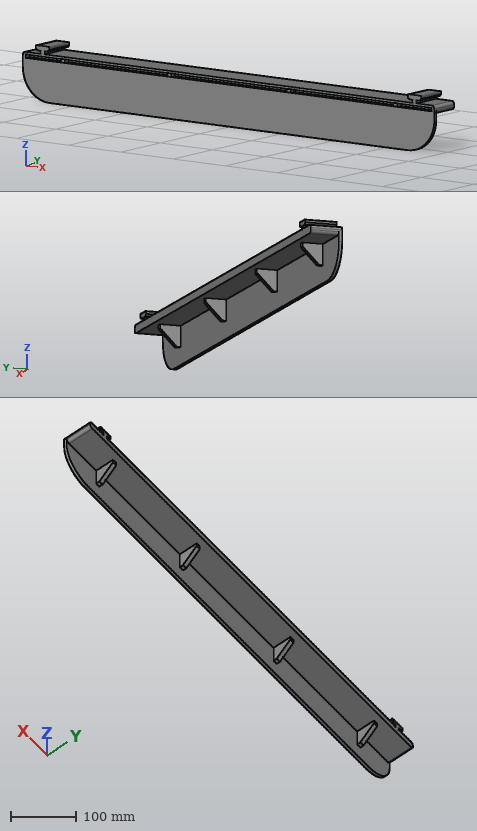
import cadquery as cq

length = 787.5
depth = 51.0
height = 87.5

plate_thickness = 5.5
plate_corner_radius = 51.0
hanger_height = 12.5
body_height = height - hanger_height
shelf_thickness = 13.0
shelf_end_radius = 5.1
shelf_bottom = body_height - shelf_thickness

groove_end_margin = 5.5
groove_height = 5.5
groove_top_margin = 4.0
groove_top = body_height - groove_top_margin
groove_depth = 11.0
bridge_width = 8.0
bridge_recess = 1.5

inner_rib_position = 114.0
outer_rib_position = 318.0
rib_positions = (-outer_rib_position, -inner_rib_position, inner_rib_position, outer_rib_position)
rib_width = bridge_width
rib_reach = 33.0
rib_drop = 33.0
rib_tip = 6.0

hanger_position = 356.0
head_width = 26.0
head_base_width = 20.0
head_side_height = 5.0
head_height = 8.0
stem_width = 8.0
head_edge_radius = 1.5


def make_plate():
    """Upright front plate with large rounded lower corners and small upper ones."""
    plate = cq.Workplane("XY").box(length, plate_thickness, body_height, centered=(True, False, False))
    plate = plate.edges("|Y and <Z").fillet(plate_corner_radius)
    return plate.edges("|Y and >Z").fillet(shelf_end_radius)


def make_shelf():
    """Horizontal shelf with the upper and lower edges of both ends rounded."""
    shelf = cq.Workplane("XY").box(length, depth, shelf_thickness, centered=(True, False, False))
    return shelf.edges("|Y").fillet(shelf_end_radius).translate((0, 0, shelf_bottom))


def make_groove():
    """Cutter for the front groove, leaving the bridges standing."""
    groove = cq.Workplane("XY").box(
        length - 2 * groove_end_margin, groove_depth, groove_height, centered=(True, False, False)
    )
    for x in rib_positions:
        bridge = cq.Workplane("XY").box(bridge_width, groove_depth, groove_height, centered=(True, False, False))
        groove = groove.cut(bridge.translate((x, bridge_recess, 0)))
    return groove.translate((0, 0, groove_top - groove_height))


def make_rib(x):
    """Gusset rib with blunt tips under the shelf and behind the plate."""
    rib_top = groove_top - groove_height
    rib_back = plate_thickness + rib_reach
    rib_bottom = shelf_bottom - rib_drop
    outline = [
        (plate_thickness / 2, rib_top),
        (rib_back, rib_top),
        (rib_back, shelf_bottom - rib_tip),
        (plate_thickness + rib_tip, rib_bottom),
        (plate_thickness / 2, rib_bottom),
    ]
    rib = cq.Workplane("YZ").polyline(outline).close().extrude(rib_width / 2, both=True)
    return rib.translate((x, 0, 0))


def make_hanger(x):
    """T-shaped hanger running the full depth of the shelf."""
    head_bottom = height - head_height
    side_bottom = height - head_side_height
    half_outline = [
        (0, height),
        (head_width / 2, height),
        (head_width / 2, side_bottom),
        (head_base_width / 2, head_bottom),
        (stem_width / 2, head_bottom),
        (stem_width / 2, body_height),
        (0, body_height),
    ]
    hanger = cq.Workplane("XZ").polyline(half_outline).close().extrude(-depth)
    hanger = hanger.edges("|Y and >X and >Z").fillet(head_edge_radius)
    hanger = hanger.union(hanger.mirror("YZ"))
    return hanger.translate((x, 0, 0))


result = make_plate().union(make_shelf()).cut(make_groove())
for rib_x in rib_positions:
    result = result.union(make_rib(rib_x))
for hanger_x in (-hanger_position, hanger_position):
    result = result.union(make_hanger(hanger_x))